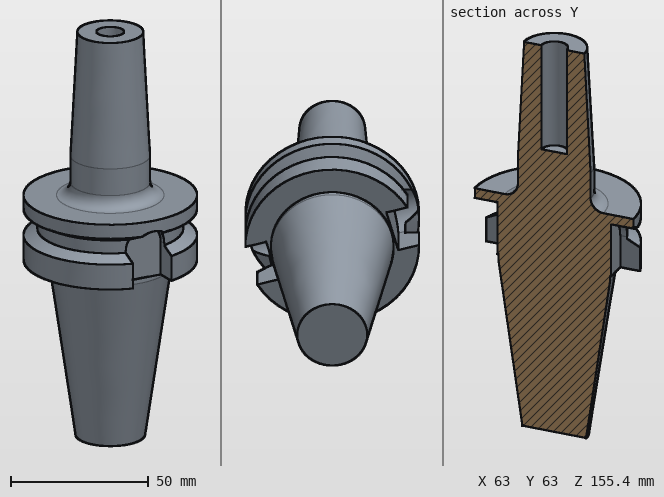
import cadquery as cq
import math


gauge_diameter = 44.45
taper_length = 65.4
taper_ratio = 7 / 24
taper_end_diameter = gauge_diameter - taper_length * taper_ratio

flange_diameter = 63.0
flange_bottom_z = 2.0
flange_top_z = 27.0
groove_center_z = 16.6
groove_floor_diameter = 53.0
groove_floor_width = 5.0
groove_opening_width = 10.0

slot_width = 16.1
slot_top_z = 22.9
slot_floor_x = 22.6

nose_top_z = 90.0
nose_tip_diameter = 24.0
nose_root_diameter = 29.0
nose_half_angle = 3.0
nose_fillet_radius = 5.0
bore_diameter = 10.0
bore_depth = 42.0


def make_body():
    """Revolve the taper, flange and nose about the Z axis."""
    gauge_radius = gauge_diameter / 2
    flange_radius = flange_diameter / 2
    groove_radius = groove_floor_diameter / 2
    tip_radius = nose_tip_diameter / 2
    root_radius = nose_root_diameter / 2

    cone_length = (root_radius - tip_radius) / math.tan(math.radians(nose_half_angle))
    fillet_sagitta = nose_fillet_radius * (1 - math.cos(math.radians(45)))
    fillet_middle = (root_radius + fillet_sagitta, flange_top_z + fillet_sagitta)

    profile = (
        cq.Workplane("XZ")
        .moveTo(0, -taper_length)
        .lineTo(taper_end_diameter / 2, -taper_length)
        .lineTo(gauge_radius, 0)
        .lineTo(gauge_radius, flange_bottom_z)
        .lineTo(flange_radius, flange_bottom_z)
        .lineTo(flange_radius, groove_center_z - groove_opening_width / 2)
        .lineTo(groove_radius, groove_center_z - groove_floor_width / 2)
        .lineTo(groove_radius, groove_center_z + groove_floor_width / 2)
        .lineTo(flange_radius, groove_center_z + groove_opening_width / 2)
        .lineTo(flange_radius, flange_top_z)
        .lineTo(root_radius + nose_fillet_radius, flange_top_z)
        .threePointArc(fillet_middle, (root_radius, flange_top_z + nose_fillet_radius))
        .lineTo(root_radius, nose_top_z - cone_length)
        .lineTo(tip_radius, nose_top_z)
        .lineTo(0, nose_top_z)
        .close()
    )
    return profile.revolve(360, (0, 0, 0), (0, 1, 0))


def make_drive_slot(side):
    """Round-topped slot cutter, open at the flange underside; side is -1 or +1 along X."""
    half_width = slot_width / 2
    arc_center_z = slot_top_z - half_width
    cut_depth = flange_diameter / 2 - slot_floor_x
    return (
        cq.Workplane("YZ", origin=(side * slot_floor_x, 0, 0))
        .moveTo(-half_width, flange_bottom_z)
        .lineTo(half_width, flange_bottom_z)
        .lineTo(half_width, arc_center_z)
        .threePointArc((0, slot_top_z), (-half_width, arc_center_z))
        .close()
        .extrude(side * cut_depth)
    )


def make_bore():
    """Blind tool bore entering from the nose tip."""
    return (
        cq.Workplane("XY", origin=(0, 0, nose_top_z - bore_depth))
        .circle(bore_diameter / 2)
        .extrude(bore_depth)
    )


result = make_body()
for slot_side in (-1, 1):
    result = result.cut(make_drive_slot(slot_side))
result = result.cut(make_bore())